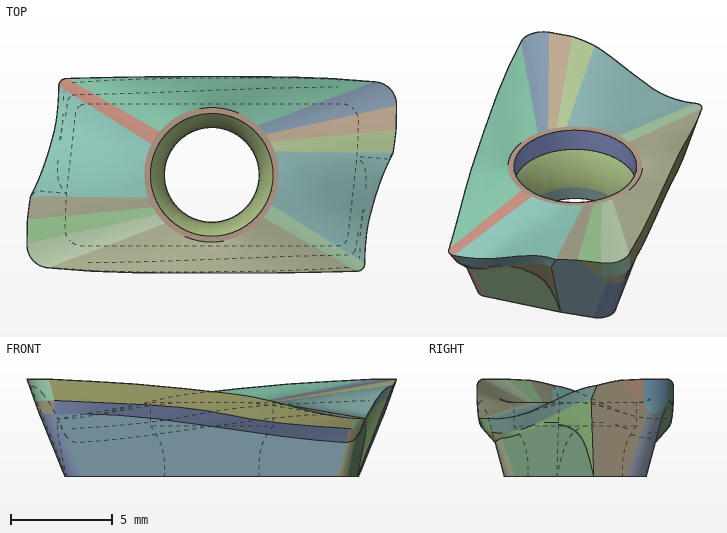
import cadquery as cq
import math


length = 18.18
height = 4.8

body_half_width = 3.49
side_draft = 15.0
flank_foot_x = 7.22
flank_foot_y = 2.58
flank_draft = 21.5
flank_skew = 2.5
wiper_draft = 19.6
notch_draft = 13.4
notch_skew = 6.5
flank_notch_y = 0.9

ring_radius = 3.3
ring_z = 3.65
head_radius = 3.02
head_floor_z = 2.49
hole_radius = 2.33
bore_height = 0.65

first_ring_angle = 200.0
ring_angles = [first_ring_angle, 209.0, 216.5, 226.5, 320.4, 333.0, first_ring_angle + 180]

ARC_BULGE = math.sqrt(2) - 1


def slope(angle):
    return math.tan(math.radians(angle))


def on_side(x, z):
    """Point on the drafted long side of the body (-Y)."""
    return cq.Vector(x, -body_half_width - z * slope(side_draft), z)


def on_flank(y, z):
    """Point on the plane flank of the -X end, running from the bottom to the cutting edge."""
    skew_offset = (y + flank_foot_y) * slope(flank_skew)
    return cq.Vector(-flank_foot_x - z * slope(flank_draft) + skew_offset, y, z)


def wiper_x(z):
    """Position of the wiper facet, the plane beside the high corner that faces straight along -X."""
    return -length / 2 + (height - z) * slope(wiper_draft)


def on_wiper(y, z):
    return cq.Vector(wiper_x(z), y, z)


def on_wiper_border(z):
    """Point where the flank and the wiper facet meet."""
    skew_offset = wiper_x(z) + flank_foot_x + z * slope(flank_draft)
    return on_wiper(skew_offset / slope(flank_skew) - flank_foot_y, z)


def on_notch(y, z):
    """Point on the recessed flat of the +X end, which meets the flank at the bottom."""
    skew_offset = (y - flank_notch_y) * slope(notch_skew)
    foot_x = -on_flank(-flank_notch_y, 0).x
    return cq.Vector(foot_x + skew_offset + z * slope(notch_draft), y, z)


def turned(point):
    """Point rotated half a turn about Z."""
    return cq.Vector(-point.x, -point.y, point.z)


def curve(*points):
    return cq.Edge.makeSpline([cq.Vector(p) for p in points])


def corner(start, end):
    """Rounded corner bulging outward between a point on an end and a point on a long side."""
    middle = (start + end) * 0.5
    apex = cq.Vector(max(start.x, end.x, key=abs), max(start.y, end.y, key=abs), middle.z)
    return cq.Edge.makeThreePointArc(start, middle + (apex - middle) * ARC_BULGE, end)


def plane_face(*edges):
    return cq.Face.makeFromWires(cq.Wire.assembleEdges(list(edges)))


def ruled(first, second):
    return cq.Face.makeRuledSurface(first, second)


line = cq.Edge.makeLine

edge_flank = on_flank(-1.07, 4.49)
edge_wiper = on_wiper_border(4.75)
edge_high_end = on_wiper(-3.4, height)
edge_high_side = cq.Vector(-8.0, -4.58, height)
edge_low_side = cq.Vector(7.13, -4.75, 2.85)
edge_low_end = cq.Vector(7.53, -4.36, 2.85)
cutting_edge = [
    curve(edge_flank, on_flank(-1.64, 4.64), edge_wiper),
    curve(edge_wiper, on_wiper(-2.8, 4.78), edge_high_end),
    corner(edge_high_end, edge_high_side),
    curve(edge_high_side, (-5.87, -4.75, 4.69), (-1.76, -4.84, 4.38), (0, -4.84, 4.18), (1.8, -4.84, 3.96),
          (4.85, -4.8, 3.22), edge_low_side),
    corner(edge_low_side, edge_low_end),
    curve(edge_low_end, (7.56, -3.49, 2.87), (7.67, -2.55, 3.07), (7.93, -1.47, 3.53), (8.38, -0.1, 4.16),
          turned(edge_flank)),
]

rim_flank = on_flank(-0.78, 3.8)
rim_high_end = on_wiper(-3.36, 3.67)
rim_high_side = cq.Vector(-7.73, -4.58, 3.75)
rim_low_side = cq.Vector(6.78, -4.55, 2.36)
rim_low_end = cq.Vector(7.27, -4.04, 2.18)
rim_edge = [
    corner(rim_high_end, rim_high_side),
    curve(rim_high_side, (-4.1, -4.76, 3.58), (0, -4.76, 3.2), (1.9, -4.75, 2.84), (4.5, -4.67, 2.53),
          rim_low_side),
    corner(rim_low_side, rim_low_end),
    curve(rim_low_end, (7.29, -3.53, 2.15), (7.33, -2.58, 2.35), (7.53, -1.65, 2.7), (8.13, -0.1, 3.49),
          turned(rim_flank)),
]

ledge_high_end = on_wiper_border(3.16)
ledge_high_side = on_side(-7.73, 3.04)
ledge_low_side = on_side(6.64, 1.67)
ledge_low_end = on_notch(-3.62, 1.89)
flank_foot = on_flank(-flank_notch_y, 0)
ledge_edge = [
    corner(ledge_high_end, ledge_high_side),
    curve(ledge_high_side, on_side(-4.8, 3.04), on_side(0, 2.47), on_side(4.36, 1.87), ledge_low_side),
    corner(ledge_low_side, ledge_low_end),
    curve(ledge_low_end, on_notch(-2.58, 2.15), on_notch(-1.09, 2.58), on_notch(0.07, 2.18),
          on_notch(0.62, 1.16), turned(flank_foot)),
]

foot_high_end = on_flank(-flank_foot_y, 0)
foot_high_side = on_side(-6.42, 0)
foot_low_side = on_side(6.18, 0)
foot_low_end = on_notch(-2.96, 0)
foot_edge = [
    corner(foot_high_end, foot_high_side),
    line(foot_high_side, foot_low_side),
    corner(foot_low_side, foot_low_end),
    line(foot_low_end, turned(flank_foot)),
]
foot_flank = line(flank_foot, foot_high_end)


def on_ring(angle):
    direction = math.radians(angle)
    return cq.Vector(ring_radius * math.cos(direction), ring_radius * math.sin(direction), ring_z)


ring_edge = [
    cq.Edge.makeThreePointArc(on_ring(start), on_ring((start + end) / 2), on_ring(end))
    for start, end in zip(ring_angles, ring_angles[1:])
]

dish_faces = [ruled(outer, inner) for outer, inner in zip(cutting_edge, ring_edge)]
rim_faces = [ruled(upper, lower) for upper, lower in zip(cutting_edge[2:], rim_edge)]
ledge_faces = [ruled(upper, lower) for upper, lower in zip(rim_edge, ledge_edge)]
high_corner_face = ruled(ledge_edge[0], foot_edge[0])
side_face = plane_face(
    ledge_edge[1],
    line(ledge_low_side, foot_low_side),
    foot_edge[1],
    line(foot_high_side, ledge_high_side),
)
low_corner_face = ruled(ledge_edge[2], foot_edge[2])
notch_face = plane_face(ledge_edge[3], foot_edge[3], line(foot_low_end, ledge_low_end))
flank_face = plane_face(
    cutting_edge[0],
    line(edge_wiper, ledge_high_end),
    line(ledge_high_end, foot_high_end),
    foot_flank,
    line(flank_foot, rim_flank),
    line(rim_flank, edge_flank),
)
wiper_face = plane_face(
    cutting_edge[1],
    line(edge_high_end, rim_high_end),
    line(rim_high_end, ledge_high_end),
    line(ledge_high_end, edge_wiper),
)
half_skin = dish_faces + rim_faces + ledge_faces
half_skin += [high_corner_face, side_face, low_corner_face, notch_face, flank_face, wiper_face]


def half_turn(shape):
    return shape.rotate(cq.Vector(0, 0, 0), cq.Vector(0, 0, 1), 180)


def with_half_turn(shapes):
    return shapes + [half_turn(shape) for shape in shapes]


bottom_face = plane_face(*with_half_turn([foot_flank] + foot_edge))
ring_face = plane_face(*with_half_turn(ring_edge))
skin = cq.Shell.makeShell(with_half_turn(half_skin) + [bottom_face, ring_face])
blank = cq.Workplane(obj=cq.Solid.makeSolid(skin))

seat_width = head_radius - hole_radius
seat_height = head_floor_z - bore_height
seat_radius = (seat_width**2 + seat_height**2) / (2 * seat_width)
seat_half_angle = math.asin(seat_height / seat_radius) / 2
seat_middle = (
    hole_radius + seat_radius * (1 - math.cos(seat_half_angle)),
    bore_height + seat_radius * math.sin(seat_half_angle),
)
screw_hole = (
    cq.Workplane("XZ")
    .lineTo(hole_radius, 0)
    .lineTo(hole_radius, bore_height)
    .threePointArc(seat_middle, (head_radius, head_floor_z))
    .lineTo(head_radius, height)
    .lineTo(0, height)
    .close()
    .revolve(360, (0, 0), (0, 1))
)

result = blank.cut(screw_hole)